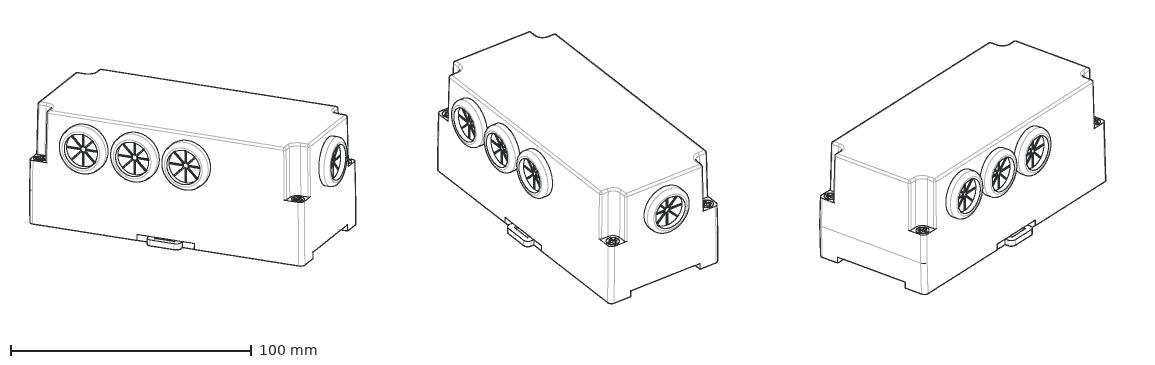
import cadquery as cq
import math

BOX_LENGTH = 124.8
BOX_WIDTH = 55.7
HEIGHT = 51.0
JOINT_Z = 14.8
LEDGE_Z = 28.0
DRAFT_DEGREES = 1.0
CORNER_RADIUS = 1.9
TOP_EDGE_RADIUS = 1.0

SCREW_INSET = 3.9
POCKET_REACH = 3.9
POCKET_RADIUS = 3.5
POCKET_EDGE_RADIUS = 0.8
SCREW_HEAD_DIAMETER = 5.5
SCREW_HEAD_SINK = 0.1
CROSS_LENGTH = 3.7
CROSS_WIDTH = 1.3
CROSS_DEPTH = 0.6

GROMMET_DIAMETER = 21.0
GROMMET_REACH = 3.9
GROMMET_RIM_RADIUS = 1.9
GROMMET_Z = 37.2
GROMMET_PITCH = 23.3
FRONT_GROMMET_COUNT = 3
FIRST_GROMMET_X = -36.7
MEMBRANE_DIAMETER = 15.0
MEMBRANE_SINK = 2.3
GROMMET_ROOT = 2.6
GROOVE_COUNT = 8
GROOVE_WIDTH = 0.5
GROOVE_DEPTH = 0.4
HUB_DIAMETER = 2.3

RAIL_WIDTH = 35.2
RAIL_DEPTH = 2.8
HOOK_TOP_Z = 1.7
HOOK_TIP_Z = 0.9
HOOK_FOOT = 0.6
FIXED_HOOK_REACH = 2.7
SLIDER_HOOK_REACH = 1.5

SLIDER_X = 0.3
SLIDER_WIDTH = 26.0
SLIDER_HEIGHT = 2.7
SLIDER_SINK = 0.1
TAB_WIDTH = 15.2
TAB_REACH = 3.9
TAB_CORNER_RADIUS = 2.2
TAB_SLOT_WIDTH = 9.3
TAB_BAR = 2.5

OVERLAP = 1.3

draft_slope = math.tan(math.radians(DRAFT_DEGREES))
half_length = BOX_LENGTH / 2
half_width = BOX_WIDTH / 2
screw_x = half_length - SCREW_INSET
screw_y = half_width - SCREW_INSET
corner_signs = [(-1, -1), (-1, 1), (1, -1), (1, 1)]


def make_lower_box():
    """Base and the part of the cover below the screw ledges."""
    lean = JOINT_Z * draft_slope
    base = (
        cq.Workplane("XY")
        .center(lean, -lean)
        .rect(BOX_LENGTH, BOX_WIDTH)
        .workplane(offset=JOINT_Z)
        .center(-lean, lean)
        .rect(BOX_LENGTH, BOX_WIDTH)
        .loft(ruled=True)
    )
    lower_cover = (
        cq.Workplane("XY", origin=(0, 0, JOINT_Z))
        .rect(BOX_LENGTH, BOX_WIDTH)
        .extrude(LEDGE_Z - JOINT_Z, taper=DRAFT_DEGREES)
    )
    return base.union(lower_cover).edges("not #Z").fillet(CORNER_RADIUS)


def make_upper_cover():
    """Cover above the screw ledges, with a pocket in each corner."""
    inset = (LEDGE_Z - JOINT_Z) * draft_slope
    rise = HEIGHT - LEDGE_Z
    cover = (
        cq.Workplane("XY", origin=(0, 0, LEDGE_Z))
        .rect(BOX_LENGTH - 2 * inset, BOX_WIDTH - 2 * inset)
        .extrude(rise, taper=DRAFT_DEGREES)
    )
    pocket_size = 2 * (SCREW_INSET + POCKET_REACH + rise * draft_slope)
    pocket = (
        cq.Workplane("XY", origin=(0, 0, HEIGHT))
        .rect(pocket_size, pocket_size)
        .extrude(-rise, taper=DRAFT_DEGREES)
        .edges("not #Z")
        .fillet(POCKET_RADIUS)
    )
    for x_sign, y_sign in corner_signs:
        cover = cover.cut(pocket.translate((x_sign * half_length, y_sign * half_width, 0)))
    walls = cover.faces("<X or >X or <Y or >Y")
    cover = walls.edges("not #Z").fillet(POCKET_EDGE_RADIUS)
    return cover.faces(">Z").edges().fillet(TOP_EDGE_RADIUS)


def make_screw_recess():
    """Sunk round head with a cross slot, on the Z axis."""
    head_z = LEDGE_Z - SCREW_HEAD_SINK
    head = cq.Workplane("XY", origin=(0, 0, head_z)).circle(SCREW_HEAD_DIAMETER / 2).extrude(SCREW_HEAD_SINK)
    cross = (
        cq.Workplane("XY", origin=(0, 0, head_z))
        .rect(CROSS_LENGTH, CROSS_WIDTH)
        .rect(CROSS_WIDTH, CROSS_LENGTH)
        .extrude(-CROSS_DEPTH)
    )
    return head.union(cross)


def make_grommet():
    """Cable grommet along Z, with radial grooves in its sunken membrane.

    The joint outline is at Z = 0 and the outer face at GROMMET_REACH.
    """
    membrane_z = GROMMET_REACH - MEMBRANE_SINK
    grommet = (
        cq.Workplane("XY", origin=(0, 0, -GROMMET_ROOT))
        .circle(GROMMET_DIAMETER / 2)
        .extrude(GROMMET_ROOT + GROMMET_REACH)
        .faces(">Z")
        .edges()
        .fillet(GROMMET_RIM_RADIUS)
        .faces(">Z")
        .workplane()
        .hole(MEMBRANE_DIAMETER, MEMBRANE_SINK)
    )
    membrane = cq.Workplane("XY", origin=(0, 0, membrane_z))
    grooves = membrane.circle(HUB_DIAMETER / 2).extrude(-GROOVE_DEPTH)
    groove_pair = membrane.rect(MEMBRANE_DIAMETER, GROOVE_WIDTH).extrude(-GROOVE_DEPTH)
    for i in range(GROOVE_COUNT // 2):
        grooves = grooves.union(groove_pair.rotate((0, 0, 0), (0, 0, 1), i * 360 / GROOVE_COUNT))
    return grommet.cut(grooves)


def cut_rail_slot(body):
    slot = cq.Workplane("XY").box(BOX_LENGTH + 2 * OVERLAP, RAIL_WIDTH, RAIL_DEPTH, centered=(True, True, False))
    return body.cut(slot)


def make_hook(reach):
    """Rail hook reaching towards +Y from Y = 0, with a sloping underside."""
    return (
        cq.Workplane("YZ", origin=(SLIDER_X - SLIDER_WIDTH / 2, 0, 0))
        .moveTo(-OVERLAP, 0)
        .lineTo(HOOK_FOOT, 0)
        .lineTo(reach, HOOK_TIP_Z)
        .lineTo(reach, HOOK_TOP_Z)
        .lineTo(-OVERLAP, HOOK_TOP_Z)
        .close()
        .extrude(SLIDER_WIDTH)
    )


def add_hooks(body):
    slider_hook = make_hook(SLIDER_HOOK_REACH).translate((0, -RAIL_WIDTH / 2, 0))
    fixed_hook = make_hook(FIXED_HOOK_REACH).mirror("XZ").translate((0, RAIL_WIDTH / 2, 0))
    return body.union(slider_hook).union(fixed_hook)


def add_slider_end(body):
    """Sink the slider end into the -Y wall and add its pull tab with a finger slot."""
    wall_y = -half_width - JOINT_Z * draft_slope
    recess = cq.Workplane("XY").box(SLIDER_WIDTH, 2 * SLIDER_SINK, SLIDER_HEIGHT, centered=(True, True, False))
    tab_root_y = wall_y + OVERLAP
    tab_tip_y = -half_width - TAB_REACH
    tab = (
        cq.Workplane("XY")
        .center(SLIDER_X, (tab_root_y + tab_tip_y) / 2)
        .rect(TAB_WIDTH, tab_root_y - tab_tip_y)
        .extrude(SLIDER_HEIGHT)
        .edges("|Z and <Y")
        .fillet(TAB_CORNER_RADIUS)
    )
    slot_start_y = tab_tip_y + TAB_BAR
    slot_end_y = wall_y + SLIDER_SINK
    slot = (
        cq.Workplane("XY")
        .center(SLIDER_X, (slot_start_y + slot_end_y) / 2)
        .rect(TAB_SLOT_WIDTH, slot_end_y - slot_start_y)
        .extrude(SLIDER_HEIGHT)
    )
    return body.cut(recess.translate((SLIDER_X, wall_y, 0))).union(tab).cut(slot)


body = make_lower_box().union(make_upper_cover())
screw_recess = make_screw_recess()
for x_sign, y_sign in corner_signs:
    body = body.cut(screw_recess.translate((x_sign * screw_x, y_sign * screw_y, 0)))
body = add_slider_end(add_hooks(cut_rail_slot(body)))

grommet = make_grommet()
front_grommet = grommet.rotate((0, 0, 0), (1, 0, 0), 90)
for i in range(FRONT_GROMMET_COUNT):
    x = FIRST_GROMMET_X + i * GROMMET_PITCH
    body = body.union(front_grommet.translate((x, -half_width, GROMMET_Z)))
end_grommet = grommet.rotate((0, 0, 0), (0, 1, 0), 90)
body = body.union(end_grommet.translate((half_length, 0, GROMMET_Z)))

result = body